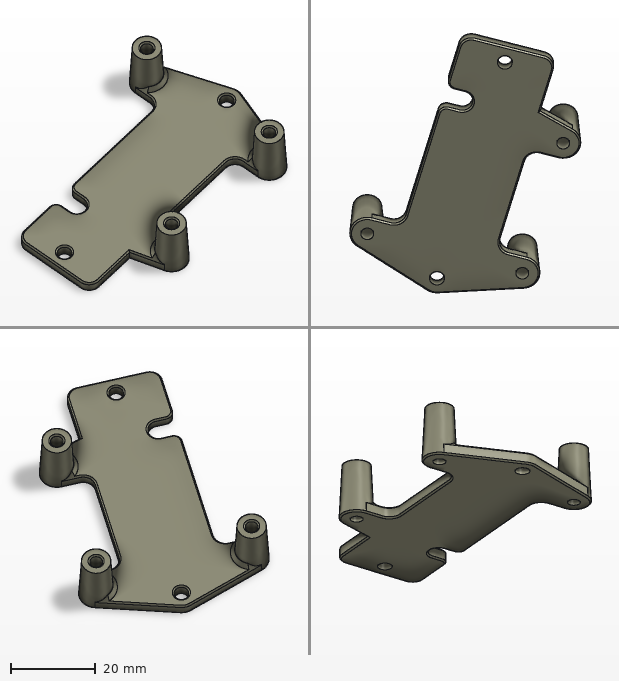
import cadquery as cq
import math

plate_thickness = 3.0
edge_chamfer = 0.4
body_half_width = 11.5
bottom_y = -33.5
mount_hole_y = 29.5
mount_hole_diameter = 3.5
tip_radius = 4.0
bottom_corner_radius = 3.0
inner_corner_radius = 3.0
arm_root_y = -19.3

slot_width = 4.95
slot_y = -16.9
slot_center_x = -6.9
slot_mouth_radius = 2.0

post_x = 19.05
upper_post_y = 22.7
lower_post_y = -12.8
post_base_radius = 4.15
post_top_radius = 3.5
post_height = 14.0
post_hole_diameter = 3.0
flare_size = 1.0
flare_radius = 5.0

upper_right = (post_x, upper_post_y)
upper_left = (-post_x, upper_post_y)
lower_right = (post_x, lower_post_y)
posts = (upper_right, upper_left, lower_right)


def polar(center, radius, angle):
    """Point at an angle (radians) on a circle."""
    return (center[0] + radius * math.cos(angle), center[1] + radius * math.sin(angle))


def mirrored(point):
    return (-point[0], point[1])


tip_center = (0, mount_hole_y)
upper_drop = mount_hole_y - upper_post_y
upper_normal = math.acos((tip_radius - post_base_radius) / math.hypot(post_x, upper_drop))
upper_normal -= math.atan2(upper_drop, post_x)

arm_run = post_x - body_half_width
arm_rise = lower_post_y - arm_root_y
lower_normal = math.atan2(-arm_rise, -arm_run)
lower_normal += math.acos(post_base_radius / math.hypot(arm_run, arm_rise))

tip_tangent = polar(tip_center, tip_radius, upper_normal)
upper_tangent = polar(upper_right, post_base_radius, upper_normal)
lower_tangent = polar(lower_right, post_base_radius, lower_normal)
upper_outer = (post_x + post_base_radius, upper_post_y)
lower_outer = (post_x + post_base_radius, lower_post_y)
shoulder_y = upper_post_y - post_base_radius
lower_arm_top_y = lower_post_y + post_base_radius


def make_slot(height):
    slot_end = cq.Workplane("XY").center(slot_center_x, slot_y).circle(slot_width / 2).extrude(height)
    slot_length = slot_center_x + body_half_width
    channel = (
        cq.Workplane("XY")
        .center(slot_center_x - slot_length / 2, slot_y)
        .rect(slot_length, slot_width)
        .extrude(height)
    )
    return slot_end.union(channel)


def make_blank(height, top_chamfer):
    """Plate outline with its slot, chamfered around the top and bottom edges."""
    blank = (
        cq.Workplane("XY")
        .moveTo(*mirrored(tip_tangent))
        .threePointArc((0, mount_hole_y + tip_radius), tip_tangent)
        .lineTo(*upper_tangent)
        .threePointArc(upper_outer, (post_x, shoulder_y))
        .lineTo(body_half_width, shoulder_y)
        .lineTo(body_half_width, lower_arm_top_y)
        .lineTo(post_x, lower_arm_top_y)
        .threePointArc(lower_outer, lower_tangent)
        .lineTo(body_half_width, arm_root_y)
        .lineTo(body_half_width, bottom_y)
        .lineTo(-body_half_width, bottom_y)
        .lineTo(-body_half_width, shoulder_y)
        .lineTo(-post_x, shoulder_y)
        .threePointArc(mirrored(upper_outer), mirrored(upper_tangent))
        .close()
        .extrude(height)
        .cut(make_slot(height))
    )
    slot_edges = [slot_y - slot_width / 2, slot_y + slot_width / 2]
    rounded_corners = (
        (inner_corner_radius, (body_half_width, shoulder_y)),
        (inner_corner_radius, (-body_half_width, shoulder_y)),
        (inner_corner_radius, (body_half_width, lower_arm_top_y)),
        (bottom_corner_radius, (body_half_width, bottom_y)),
        (bottom_corner_radius, (-body_half_width, bottom_y)),
        (slot_mouth_radius, (-body_half_width, slot_edges[0])),
        (slot_mouth_radius, (-body_half_width, slot_edges[1])),
    )
    for radius, (x, y) in rounded_corners:
        corner = cq.selectors.NearestToPointSelector((x, y, height / 2))
        blank = blank.edges("|Z").edges(corner).fillet(radius)
    return blank.faces(">Z").chamfer(top_chamfer).faces("<Z").chamfer(edge_chamfer)


def make_cone(center, z, bottom_radius, top_radius, height):
    cone = cq.Solid.makeCone(bottom_radius, top_radius, height, pnt=cq.Vector(*center, z))
    return cq.Workplane("XY").newObject([cone])


def make_post(center):
    """Tapered standoff with a chamfered foot."""
    foot = make_cone(center, 0, post_base_radius - edge_chamfer, post_base_radius, edge_chamfer)
    shaft_height = post_height - edge_chamfer
    shaft = make_cone(center, edge_chamfer, post_base_radius, post_top_radius, shaft_height)
    return foot.union(shaft)


def make_outer_sector(center, start, end):
    """Wedge that removes the plate's rounded end where the tapered post forms the wall."""
    reach = 2 * post_base_radius
    corners = [center, polar(center, reach, start), polar(center, reach, (start + end) / 2),
               polar(center, reach, end)]
    return cq.Workplane("XY").polyline(corners).close().extrude(post_height)


def drill(body, center, diameter, top_z):
    """Through hole with a chamfered upper rim."""
    radius = diameter / 2
    bore = make_cone(center, top_z - edge_chamfer, radius, radius + edge_chamfer, edge_chamfer)
    shaft = cq.Workplane("XY").center(*center).circle(radius).extrude(top_z)
    return body.cut(shaft).cut(bore)


flare_limit = make_blank(plate_thickness + flare_size, edge_chamfer + flare_size)
plate = make_blank(plate_thickness, edge_chamfer)
for post in posts:
    flare = make_cone(post, plate_thickness, flare_radius, flare_radius - flare_size, flare_size)
    plate = plate.union(flare.intersect(flare_limit))

down = -math.pi / 2
plate = plate.cut(make_outer_sector(upper_right, down, upper_normal))
plate = plate.cut(make_outer_sector(upper_left, math.pi - upper_normal, math.pi - down))
plate = plate.cut(make_outer_sector(lower_right, lower_normal, -down))

result = plate
for post in posts:
    result = result.union(make_post(post))
for post in posts:
    result = drill(result, post, post_hole_diameter, post_height)
for hole_y in (mount_hole_y, -mount_hole_y):
    result = drill(result, (0, hole_y), mount_hole_diameter, plate_thickness)